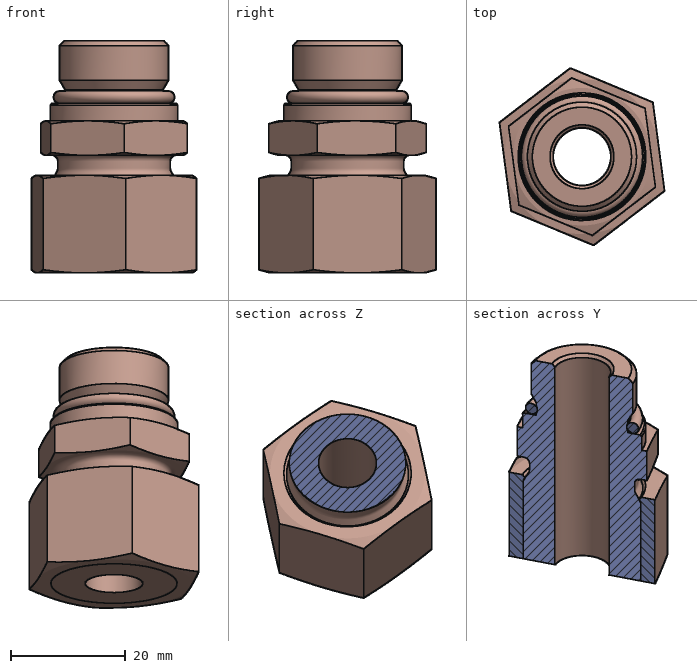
import cadquery as cq
import math

overall_height = 40.5
bore_dia = 10.0
bore_chamfer = 0.55

hex_corner_angle = 97.5
hex_chamfer_angle = 15.0

nut_height = 17.0
nut_across_corners = 31.2
nut_mouth_dia = 22.2
nut_thread_dia = 20.37

thread_dia = 22.0
thread_lead_angle = 30.0

undercut_height = 3.5
undercut_dia = 19.7
undercut_upper_radius = 1.0
undercut_lower_radius = 1.2
lower_fillet_offset = 1.2

body_hex_height = 6.0
body_hex_across_corners = 27.7
collar_height = 3.05
collar_dia = 22.28
collar_chamfer = 0.3

stud_dia = 19.05
stud_tip_dia = 17.3
stud_cone_top = 33.57
neck_dia = 17.1
stud_cone_angle = 30.0

ring_section_dia = 2.2
ring_inner_dia = 16.75

hex_bottom = nut_height + undercut_height
hex_top = hex_bottom + body_hex_height
collar_top = hex_top + collar_height


def chamfered_hexagon(across_corners, bottom, height):
    """Hexagonal prism whose corners are cut by a shallow cone at each end."""
    corner_radius = across_corners / 2
    flat_radius = corner_radius * math.cos(math.radians(30))
    drop = (corner_radius - flat_radius) * math.tan(math.radians(hex_chamfer_angle))
    prism = (
        cq.Workplane("XY")
        .polygon(6, across_corners)
        .extrude(height)
        .rotate((0, 0, 0), (0, 0, 1), hex_corner_angle)
    )
    envelope = (
        cq.Workplane("XZ")
        .moveTo(0, 0)
        .lineTo(flat_radius, 0)
        .lineTo(corner_radius, drop)
        .lineTo(corner_radius, height - drop)
        .lineTo(flat_radius, height)
        .lineTo(0, height)
        .close()
        .revolve(360, (0, 0, 0), (0, 1, 0))
    )
    return prism.intersect(envelope).translate((0, 0, bottom))


def make_turned_core():
    """Round part of the body: thread, undercut, collar, neck and stud as one revolved profile."""
    lead = math.radians(thread_lead_angle)
    undercut_r = undercut_dia / 2
    thread_r = thread_dia / 2
    collar_r = collar_dia / 2
    neck_r = neck_dia / 2
    stud_r = stud_dia / 2

    upper_fillet_bottom = hex_bottom - undercut_upper_radius
    half_quarter = undercut_upper_radius * math.sin(math.radians(45))
    upper_fillet_mid = (
        undercut_r + undercut_upper_radius - half_quarter,
        upper_fillet_bottom + half_quarter,
    )

    lower_fillet_top = nut_height + lower_fillet_offset

    def lower_fillet_point(angle):
        return (
            undercut_r + undercut_lower_radius * (1 - math.cos(angle)),
            lower_fillet_top - undercut_lower_radius * math.sin(angle),
        )

    cone_start = lower_fillet_point(lead)
    thread_top = cone_start[1] - (thread_r - cone_start[0]) / math.tan(lead)

    stud_cone_height = (stud_r - neck_r) / math.tan(math.radians(stud_cone_angle))
    tip_r = stud_tip_dia / 2
    tip_chamfer = stud_r - tip_r

    return (
        cq.Workplane("XZ")
        .moveTo(0, 0)
        .lineTo(thread_r, 0)
        .lineTo(thread_r, thread_top)
        .lineTo(*cone_start)
        .threePointArc(lower_fillet_point(lead / 2), (undercut_r, lower_fillet_top))
        .lineTo(undercut_r, upper_fillet_bottom)
        .threePointArc(upper_fillet_mid, (undercut_r + undercut_upper_radius, hex_bottom))
        .lineTo(collar_r, hex_bottom)
        .lineTo(collar_r, collar_top - collar_chamfer)
        .lineTo(collar_r - collar_chamfer, collar_top)
        .lineTo(neck_r, collar_top)
        .lineTo(neck_r, stud_cone_top - stud_cone_height)
        .lineTo(stud_r, stud_cone_top)
        .lineTo(stud_r, overall_height - tip_chamfer)
        .lineTo(tip_r, overall_height)
        .lineTo(0, overall_height)
        .close()
        .revolve(360, (0, 0, 0), (0, 1, 0))
    )


def make_body():
    """Fitting body: turned core, hexagon and a chamfered through bore."""
    hexagon = chamfered_hexagon(body_hex_across_corners, hex_bottom, body_hex_height)
    bore = cq.Workplane("XY").circle(bore_dia / 2).extrude(overall_height)
    blank = make_turned_core().union(hexagon).cut(bore)
    bore_rim = blank.faces(">Z").edges(cq.selectors.RadiusNthSelector(0))
    return bore_rim.chamfer(bore_chamfer)


def make_nut(body_solid):
    """Coupling nut: hexagon with a 45-degree conical mouth and a thread that fits around the body."""
    hexagon = chamfered_hexagon(nut_across_corners, 0, nut_height)
    mouth_r = nut_mouth_dia / 2
    inner_r = nut_thread_dia / 2
    bore = (
        cq.Workplane("XZ")
        .moveTo(0, 0)
        .lineTo(inner_r, 0)
        .lineTo(inner_r, nut_height - (mouth_r - inner_r))
        .lineTo(mouth_r, nut_height)
        .lineTo(0, nut_height)
        .close()
        .revolve(360, (0, 0, 0), (0, 1, 0))
    )
    return hexagon.cut(bore).cut(body_solid)


def make_o_ring():
    """O-ring resting on the collar around the neck."""
    section_r = ring_section_dia / 2
    centre_r = ring_inner_dia / 2 + section_r
    return (
        cq.Workplane("XZ")
        .center(centre_r, collar_top + section_r)
        .circle(section_r)
        .revolve(360, (-centre_r, 0, 0), (-centre_r, 1, 0))
    )


o_ring = make_o_ring()
body = make_body().cut(o_ring)
nut = make_nut(body)

result = cq.Compound.makeCompound([body.val(), nut.val(), o_ring.val()])